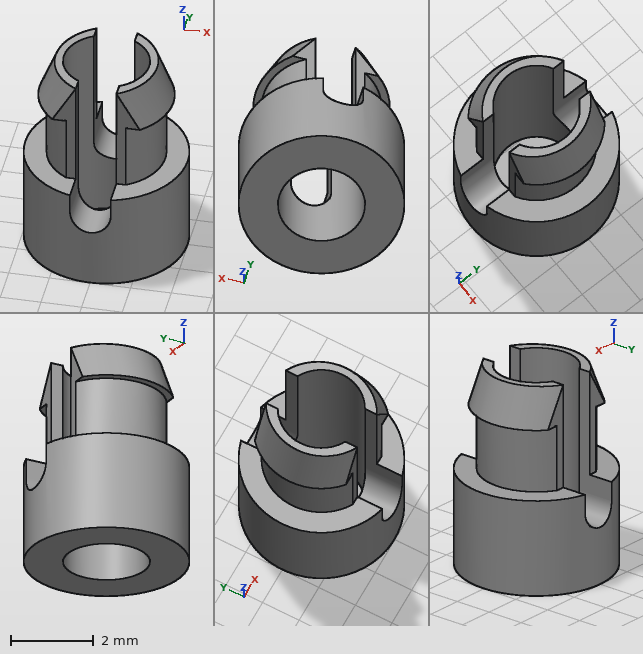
import cadquery as cq
import math

base_diameter = 4.0
base_height = 2.5

bore_diameter = 2.1

neck_diameter = 2.9
flat_width = 2.5

total_height = 5.2
barb_height = 1.0
barb_bottom_radius = 1.65
barb_top_reach = 1.25

slot_width = 1.0
slot_bottom = 1.5

flat_y = flat_width / 2
slot_radius = slot_width / 2
slot_round_center = slot_bottom + slot_radius
barb_start = total_height - barb_height
barb_bottom_corner = math.sqrt(barb_bottom_radius**2 - flat_y**2)


def make_base():
    return cq.Workplane("XY").circle(base_diameter / 2).extrude(base_height)


def make_neck():
    post = cq.Workplane("XY").circle(neck_diameter / 2).extrude(total_height)
    between_flats = cq.Workplane("XY").rect(neck_diameter, flat_width).extrude(barb_start)
    return post.intersect(between_flats)


def barb_section(height, corner_x, reach):
    """D-shaped outline from the slot wall out to an arc that ends on the flats."""
    outline = cq.Workplane("XY", origin=(0, 0, height)).moveTo(0, -flat_y).lineTo(corner_x, -flat_y)
    return outline.threePointArc((reach, 0), (corner_x, flat_y)).lineTo(0, flat_y).close().val()


def make_barb():
    """Head of the +X prong, tapering inward to its top, where the arc meets the slot wall."""
    bottom = barb_section(barb_start, barb_bottom_corner, barb_bottom_radius)
    top = barb_section(total_height, slot_radius, barb_top_reach)
    return cq.Workplane(cq.Solid.makeLoft([bottom, top], True))


def make_slot():
    """Round-bottomed cutter running right through in Y and open at the top."""
    channel_height = total_height - slot_round_center
    channel = (
        cq.Workplane("XY", origin=(0, 0, slot_round_center))
        .rect(slot_width, base_diameter)
        .extrude(channel_height)
    )
    round_bottom = (
        cq.Workplane("XZ")
        .center(0, slot_round_center)
        .circle(slot_radius)
        .extrude(base_diameter / 2, both=True)
    )
    return channel.union(round_bottom)


def make_bore():
    return cq.Workplane("XY").circle(bore_diameter / 2).extrude(total_height)


barb = make_barb()
body = make_base().union(make_neck()).union(barb).union(barb.mirror("YZ"))
result = body.cut(make_bore()).cut(make_slot())